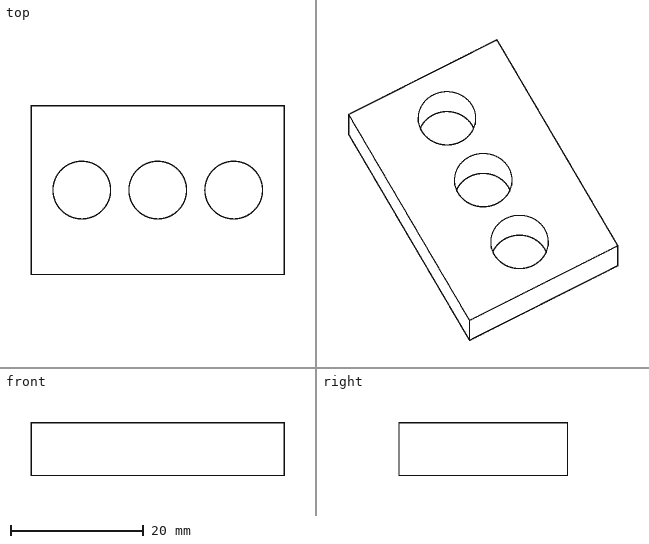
import cadquery as cq

length = 38.1
width = 25.4
height = 8.0

hole_count = 3
hole_diameter = 8.65
hole_pitch = 11.43

block = cq.Workplane("XY").box(length, width, height)

result = (
    block.faces(">Z")
    .workplane()
    .rarray(hole_pitch, hole_pitch, hole_count, 1)
    .hole(hole_diameter)
)